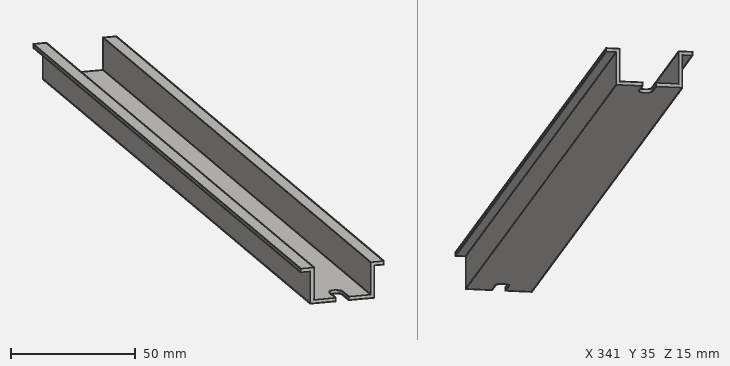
import cadquery as cq

length = 341.0
width = 35.0
height = 15.0
sheet = 1.5

channel_width = 27.0

slot_width = 5.5
slot_depth = 11.0


def rail_profile():
    """Top-hat section in the YZ plane, standing on Z = 0."""
    half_channel = channel_width / 2
    half_inside = half_channel - sheet
    right_half = [
        (0, 0),
        (half_channel, 0),
        (half_channel, height - sheet),
        (width / 2, height - sheet),
        (width / 2, height),
        (half_inside, height),
        (half_inside, sheet),
        (0, sheet),
    ]
    return cq.Workplane("YZ").polyline(right_half).mirrorY()


def end_slot(end):
    """Cutter for the slot at one end; end is -1 or +1 along X."""
    return (
        cq.Workplane("XY")
        .center(end * length / 2, 0)
        .slot2D(2 * slot_depth, slot_width)
        .extrude(sheet)
    )


result = rail_profile().extrude(length / 2, both=True)
for end in (-1, 1):
    result = result.cut(end_slot(end))